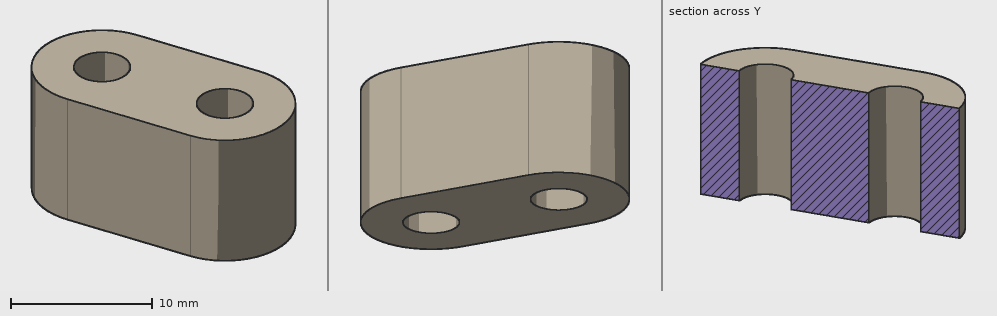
import cadquery as cq

hole_spacing = 10.0
end_radius = 5.0
height = 10.0
hole_diameter = 4.0

overall_length = hole_spacing + 2 * end_radius
overall_width = 2 * end_radius


def link_body():
    """Block with full-round ends, standing on the XY plane."""
    return cq.Workplane("XY").slot2D(overall_length, overall_width).extrude(height)


def drill_end_holes(body):
    """Through holes concentric with the two rounded ends."""
    hole_centers = [(-hole_spacing / 2, 0), (hole_spacing / 2, 0)]
    return body.faces(">Z").workplane().pushPoints(hole_centers).hole(hole_diameter)


result = drill_end_holes(link_body())